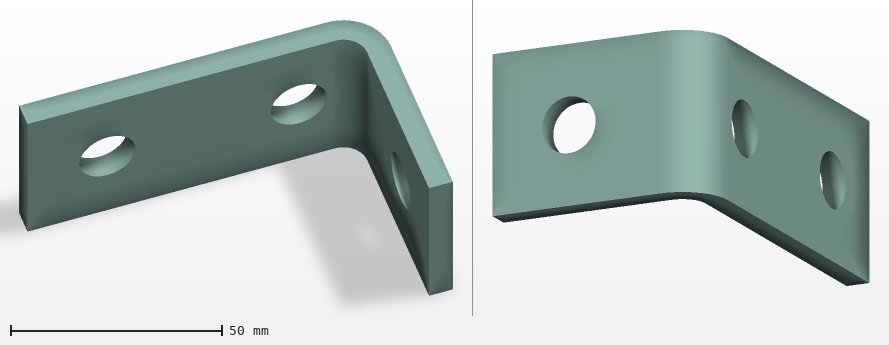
import cadquery as cq

short_leg = 56.0
long_leg = 89.0
width = 40.0
thickness = 6.0
inner_radius = 6.0
outer_radius = inner_radius + thickness

hole_diameter = 14.0
end_distance = 20.0
hole_spacing = 48.0

short_leg_hole_x = short_leg - end_distance
first_hole_y = -long_leg + end_distance
long_leg_hole_ys = (first_hole_y, first_hole_y + hole_spacing)


def bent_strip():
    """L-shaped strip with concentric bend radii, centred on Z = 0."""
    outline = (
        cq.Workplane("XY")
        .moveTo(0, -long_leg)
        .lineTo(0, -outer_radius)
        .radiusArc((outer_radius, 0), outer_radius)
        .lineTo(short_leg, 0)
        .lineTo(short_leg, -thickness)
        .lineTo(outer_radius, -thickness)
        .radiusArc((thickness, -outer_radius), -inner_radius)
        .lineTo(thickness, -long_leg)
        .close()
    )
    return outline.extrude(width / 2, both=True)


def hole_cutter(centre, direction):
    """Cylinder through one leg, starting on its outer face."""
    return cq.Workplane(
        cq.Solid.makeCylinder(hole_diameter / 2, thickness, cq.Vector(*centre), cq.Vector(*direction))
    )


result = bent_strip()
result = result.cut(hole_cutter((short_leg_hole_x, 0, 0), (0, -1, 0)))
for hole_y in long_leg_hole_ys:
    result = result.cut(hole_cutter((0, hole_y, 0), (1, 0, 0)))